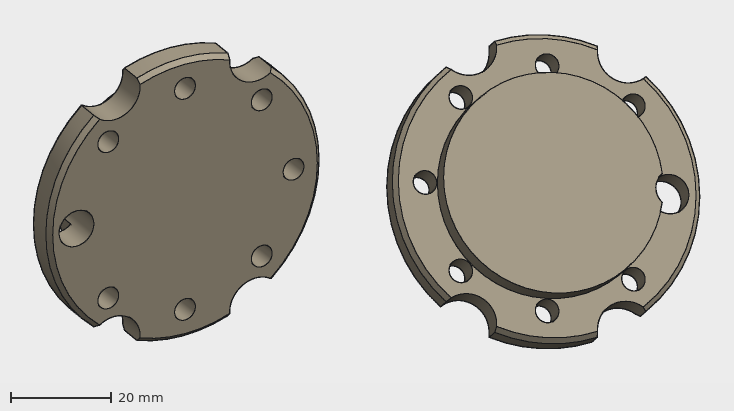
import cadquery as cq

flange_diameter = 63.0
flange_thickness = 7.0
flange_chamfer = 1.0

boss_diameter = 45.0
boss_height = 5.5
total_thickness = flange_thickness + boss_height

hole_circle_radius = 25.0
hole_diameter = 4.8
large_hole_diameter = 8.0
hole_positions = 8
hole_spacing = 360 / hole_positions
large_hole_angle = 180.0

notch_circle_radius = 32.65
notch_diameter = 12.0
notch_angles = (60, 120, 240, 300)


def disc(diameter, start_x, length):
    """Solid cylinder along +X, centred on the part axis."""
    return cq.Workplane("YZ").workplane(offset=start_x).circle(diameter / 2).extrude(length)


def through_cutter(diameter, radius, angle):
    """Cylinder through the full thickness at a polar position around the X axis."""
    cutter = disc(diameter, 0, total_thickness).translate((0, radius, 0))
    return cutter.rotate((0, 0, 0), (1, 0, 0), angle)


flange = disc(flange_diameter, boss_height, flange_thickness).edges().chamfer(flange_chamfer)
boss = disc(boss_diameter, 0, boss_height)
result = flange.union(boss)

for angle in notch_angles:
    result = result.cut(through_cutter(notch_diameter, notch_circle_radius, angle))

for position in range(hole_positions):
    angle = position * hole_spacing
    diameter = large_hole_diameter if angle == large_hole_angle else hole_diameter
    result = result.cut(through_cutter(diameter, hole_circle_radius, angle))